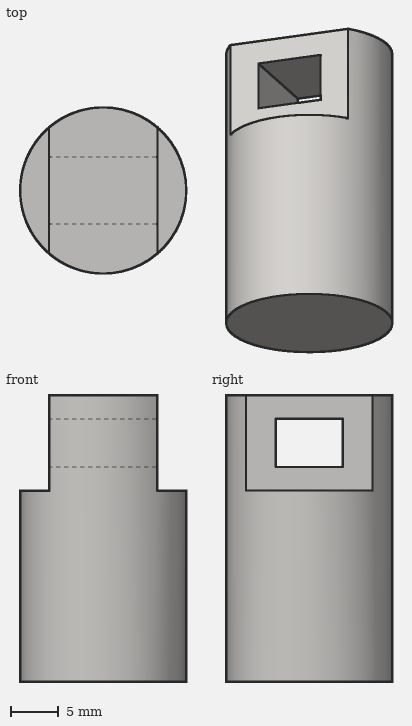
import cadquery as cq

body_diameter = 17.4
total_height = 30.0

tongue_height = 10.0
tongue_thickness = 11.3
shoulder_z = total_height - tongue_height

window_width = 7.0
window_height = 5.0
window_center_z = shoulder_z + tongue_height / 2


def make_body():
    """Plain cylinder standing on the XY plane."""
    return cq.Workplane("XY").circle(body_diameter / 2).extrude(total_height)


def make_flat_cutter(side):
    """Block that removes the material outside one flat; side is -1 or +1 along X."""
    cutter_center_x = side * (tongue_thickness + body_diameter) / 2
    return (
        cq.Workplane("XY", origin=(cutter_center_x, 0, shoulder_z))
        .rect(body_diameter, body_diameter)
        .extrude(tongue_height)
    )


def make_window_cutter():
    """Rectangular bar along X that passes through the whole tongue."""
    return (
        cq.Workplane("XY")
        .box(body_diameter, window_width, window_height)
        .translate((0, 0, window_center_z))
    )


result = make_body()
for side in (-1, 1):
    result = result.cut(make_flat_cutter(side))
result = result.cut(make_window_cutter())